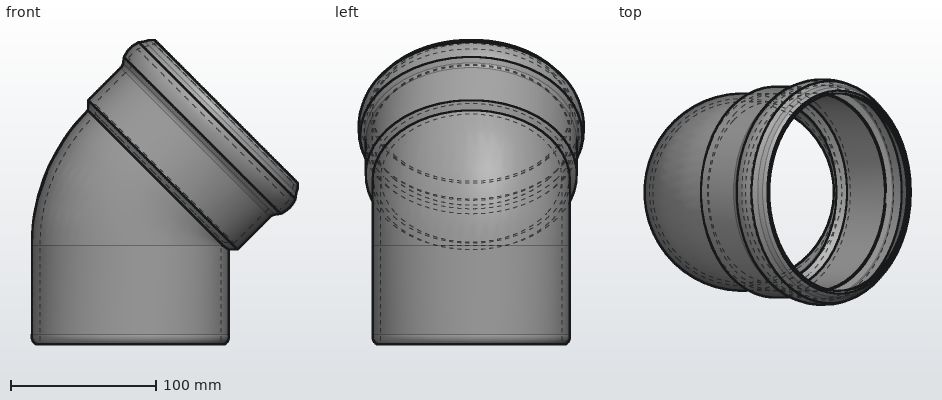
import cadquery as cq
import math

PIPE_RADIUS = 135.8 / 2
BORE_RADIUS = 62.4
SPIGOT_LENGTH = 68.2
SPIGOT_EDGE_HEIGHT = 6.7
SPIGOT_EDGE_INSET = 3.4

BEND_ANGLE = 45
BEND_RADIUS = 63.2

SOCKET_RADIUS = 145.5 / 2
SHOULDER_START = 0.5
SHOULDER_END = 5.5
COLLAR_START = 37.2
COLLAR_FLARE_START = 40.5
COLLAR_FLARE_RADIUS = 74.0
COLLAR_BULGE_START = 43.9
COLLAR_BULGE_END = 58.4
COLLAR_EDGE_RADIUS = 76.5
COLLAR_BULGE_RADIUS = 155.5 / 2
LIP_START = 61.7
LIP_BASE_RADIUS = 74.0
LIP_OUTER_RADIUS = 72.2
LIP_ROUND_START = 64.9
SOCKET_LENGTH = 67.2
MOUTH_FACE_RADIUS = 70.0

SOCKET_BORE_RADIUS = 68.0
INNER_CONE_START = 2.3
INNER_CONE_END = 7.0
GROOVE_RADIUS = 147.5 / 2
GROOVE_START = 44.3
GROOVE_FLAT_START = 46.0
GROOVE_FLAT_END = 54.4
GROOVE_END = 65.3
GROOVE_EDGE_ROUNDING = 0.6

PIVOT_CLEARANCE = 0.02


def spigot():
    """Straight pipe whose lower outer edge curves inwards."""
    middle = math.sqrt(0.5)
    edge_middle = (
        PIPE_RADIUS - SPIGOT_EDGE_INSET * (1 - middle),
        SPIGOT_EDGE_HEIGHT * (1 - middle),
    )
    return (
        cq.Workplane("XZ")
        .moveTo(0, 0)
        .lineTo(PIPE_RADIUS - SPIGOT_EDGE_INSET, 0)
        .threePointArc(edge_middle, (PIPE_RADIUS, SPIGOT_EDGE_HEIGHT))
        .lineTo(PIPE_RADIUS, SPIGOT_LENGTH)
        .lineTo(0, SPIGOT_LENGTH)
        .close()
        .revolve(360, (0, 0), (0, 1))
    )


def bend(radius):
    """Solid elbow of the given section radius, turned about the inner pivot."""
    inner_reach = min(radius, BEND_RADIUS - PIVOT_CLEARANCE)
    half_width = math.sqrt(radius**2 - inner_reach**2)
    section = cq.Workplane("XY", origin=(0, 0, SPIGOT_LENGTH))
    if half_width == 0:
        section = section.circle(radius)
    else:
        section = (
            section.moveTo(inner_reach, -half_width)
            .lineTo(inner_reach, half_width)
            .threePointArc((-radius, 0), (inner_reach, -half_width))
            .close()
        )
    return section.revolve(BEND_ANGLE, (BEND_RADIUS, 0), (BEND_RADIUS, 1))


def socket_body():
    """Socket outside: conical shoulder, cylinder, bulged collar and lip."""
    bulge_middle = (COLLAR_BULGE_START + COLLAR_BULGE_END) / 2
    return (
        cq.Workplane("XZ")
        .moveTo(0, 0)
        .lineTo(PIPE_RADIUS, 0)
        .lineTo(PIPE_RADIUS, SHOULDER_START)
        .lineTo(SOCKET_RADIUS, SHOULDER_END)
        .lineTo(SOCKET_RADIUS, COLLAR_START)
        .tangentArcPoint((COLLAR_FLARE_RADIUS, COLLAR_FLARE_START), relative=False)
        .lineTo(COLLAR_EDGE_RADIUS, COLLAR_BULGE_START)
        .threePointArc((COLLAR_BULGE_RADIUS, bulge_middle), (COLLAR_EDGE_RADIUS, COLLAR_BULGE_END))
        .lineTo(LIP_BASE_RADIUS, LIP_START)
        .lineTo(LIP_OUTER_RADIUS, LIP_ROUND_START)
        .lineTo(MOUTH_FACE_RADIUS, SOCKET_LENGTH)
        .lineTo(0, SOCKET_LENGTH)
        .close()
        .revolve(360, (0, 0), (0, 1))
    )


def socket_bore():
    """Socket inside: entry cone, pipe seat, seal groove and mouth."""
    lower_corner = (-GROOVE_EDGE_ROUNDING, -GROOVE_EDGE_ROUNDING, GROOVE_START - GROOVE_EDGE_ROUNDING)
    upper_corner = (GROOVE_EDGE_ROUNDING, GROOVE_EDGE_ROUNDING, GROOVE_FLAT_START + GROOVE_EDGE_ROUNDING)
    groove_edges = cq.selectors.BoxSelector(lower_corner, upper_corner)
    return (
        cq.Workplane("XZ")
        .moveTo(0, 0)
        .lineTo(BORE_RADIUS, 0)
        .lineTo(BORE_RADIUS, INNER_CONE_START)
        .lineTo(SOCKET_BORE_RADIUS, INNER_CONE_END)
        .lineTo(SOCKET_BORE_RADIUS, GROOVE_START)
        .lineTo(GROOVE_RADIUS, GROOVE_FLAT_START)
        .lineTo(GROOVE_RADIUS, GROOVE_FLAT_END)
        .lineTo(SOCKET_BORE_RADIUS, GROOVE_END)
        .lineTo(SOCKET_BORE_RADIUS, SOCKET_LENGTH)
        .lineTo(0, SOCKET_LENGTH)
        .close()
        .revolve(360, (0, 0), (0, 1))
        .edges(groove_edges)
        .fillet(GROOVE_EDGE_ROUNDING)
    )


def at_bend_end(shape):
    """Move a shape built upright at the origin onto the end of the bend."""
    pivot = (BEND_RADIUS, 0, SPIGOT_LENGTH)
    pivot_axis_end = (BEND_RADIUS, 1, SPIGOT_LENGTH)
    return shape.translate((0, 0, SPIGOT_LENGTH)).rotate(pivot, pivot_axis_end, BEND_ANGLE)


outside = spigot().union(bend(PIPE_RADIUS)).union(at_bend_end(socket_body()))
spigot_bore = cq.Workplane("XY").circle(BORE_RADIUS).extrude(SPIGOT_LENGTH)
inside = spigot_bore.union(bend(BORE_RADIUS)).union(at_bend_end(socket_bore()))

result = outside.cut(inside)